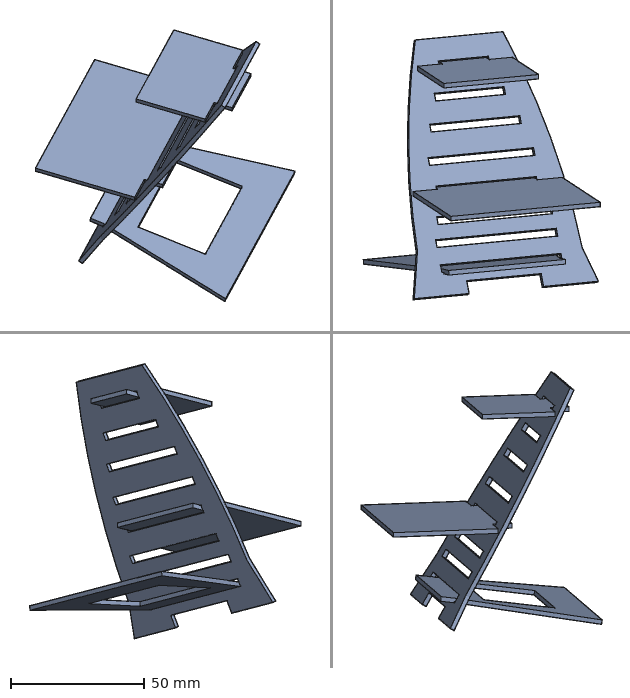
import cadquery as cq
import math

sheet = 1.75
lean_angle = 60.0
base_slope = 8.6
sin_lean = math.sin(math.radians(lean_angle))
cos_lean = math.cos(math.radians(lean_angle))

foot_x = 20.3
foot_z = sheet * cos_lean
stand_height = 87.45
panel_length = (stand_height - foot_z) / sin_lean
foot_half_width = 37.0
top_half_width = 17.6
left_knee_along, left_knee_y = 18.2, 32.3
right_knee_along, right_knee_y = 13.55, -33.05
arc_middle_along = 59.6
left_arc_y = 27.9
right_arc_y = -28.25
notch_width = 29.9
notch_depth = 5.1

slot_height = sheet * (1 + cos_lean) / sin_lean
lower_shelf_along = 39.7
upper_shelf_along = 88.0
lower_slot_width = 40.2
upper_slot_width = 20.1
base_slot_along = 9.1
base_slot_width = 48.45

spare_slots = [
    (19.0, 48.45, 0),
    (27.8, 46.0, -0.9),
    (51.0, 42.3, 0),
    (63.8, 36.2, 0),
    (75.65, 28.0, 0),
]

lower_shelf_front = 0.0
lower_shelf_rear = 47.5
lower_shelf_width = 60.0
lower_tab_width = lower_slot_width
lower_tab_y = 0.0
upper_shelf_front = 36.4
upper_shelf_rear = 71.5
upper_shelf_width = 38.1
upper_tab_width = 18.9
upper_tab_y = -0.4

base_front_x = 19.4
base_length = 60.0
tongue_length = 5.25
tongue_width = 46.9
base_rear_width = 70.5
window_front_along = 17.5
window_rear_along = 45.0
window_width = 37.4


def panel_front_x(z):
    """X of the panel's front face at height z."""
    return foot_x + (z - foot_z) * cos_lean / sin_lean


def make_back_panel():
    plane = cq.Plane(
        origin=(foot_x, 0, foot_z), xDir=(0, -1, 0), normal=(-sin_lean, 0, cos_lean)
    )
    blank = (
        cq.Workplane(plane)
        .moveTo(foot_half_width, 0)
        .lineTo(-right_knee_y, right_knee_along)
        .threePointArc((-right_arc_y, arc_middle_along), (top_half_width, panel_length))
        .lineTo(-top_half_width, panel_length)
        .threePointArc((-left_arc_y, arc_middle_along), (-left_knee_y, left_knee_along))
        .lineTo(-foot_half_width, 0)
        .close()
        .extrude(-sheet)
    )
    openings = [
        (base_slot_along, base_slot_width, 0),
        (lower_shelf_along, lower_slot_width, 0),
        (upper_shelf_along, upper_slot_width, 0),
    ] + spare_slots
    for along, width, centre_y in openings:
        slot = (
            cq.Workplane(plane)
            .center(-centre_y, along + slot_height / 2)
            .rect(width, slot_height)
            .extrude(-sheet)
        )
        blank = blank.cut(slot)
    notch = cq.Workplane(plane).rect(notch_width, 2 * notch_depth).extrude(-sheet)
    return blank.cut(notch)


def make_shelf(along, front_x, rear_x, width, tab_width, tab_y):
    bottom_z = foot_z + along * sin_lean
    shoulder_x = panel_front_x(bottom_z)
    tab_left = tab_y + tab_width / 2
    tab_right = tab_y - tab_width / 2
    return (
        cq.Workplane("XY", origin=(0, 0, bottom_z))
        .polyline([
            (front_x, -width / 2),
            (shoulder_x, -width / 2),
            (shoulder_x, tab_right),
            (rear_x, tab_right),
            (rear_x, tab_left),
            (shoulder_x, tab_left),
            (shoulder_x, width / 2),
            (front_x, width / 2),
        ])
        .close()
        .extrude(sheet)
    )


def make_base():
    slope = math.radians(base_slope)
    plane = cq.Plane(
        origin=(base_front_x, 0, base_length * math.sin(slope)),
        xDir=(math.cos(slope), 0, -math.sin(slope)),
        normal=(math.sin(slope), 0, math.cos(slope)),
    )
    plate = (
        cq.Workplane(plane)
        .polyline([
            (0, -tongue_width / 2),
            (tongue_length, -tongue_width / 2),
            (base_length, -base_rear_width / 2),
            (base_length, base_rear_width / 2),
            (tongue_length, tongue_width / 2),
            (0, tongue_width / 2),
        ])
        .close()
        .extrude(sheet)
    )
    window = (
        cq.Workplane(plane)
        .center((window_front_along + window_rear_along) / 2, 0)
        .rect(window_rear_along - window_front_along, window_width)
        .extrude(sheet)
    )
    return plate.cut(window)


base = make_base()
lower_shelf = make_shelf(
    lower_shelf_along, lower_shelf_front, lower_shelf_rear, lower_shelf_width, lower_tab_width, lower_tab_y
)
upper_shelf = make_shelf(
    upper_shelf_along, upper_shelf_front, upper_shelf_rear, upper_shelf_width, upper_tab_width, upper_tab_y
)
back_panel = make_back_panel().cut(base)

result = cq.Compound.makeCompound([
    back_panel.solids().val(),
    lower_shelf.val(),
    upper_shelf.val(),
    base.val(),
])